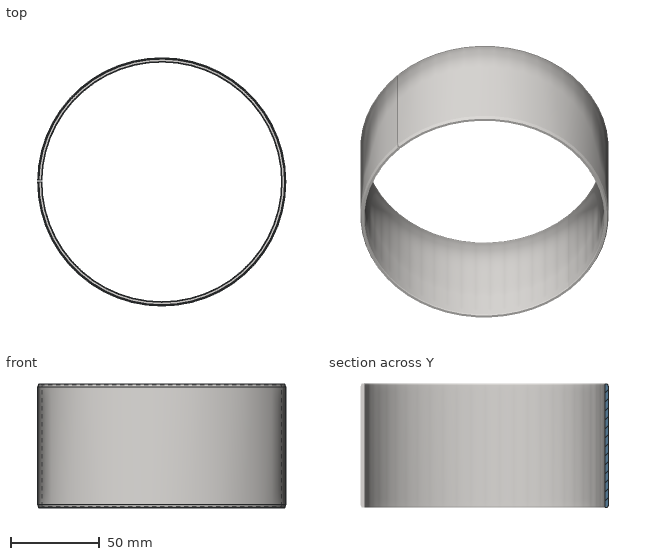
import cadquery as cq

outer_diameter = 140.0
height = 70.0
wall = 2.4

outer_chamfer_height = 1.8
outer_chamfer_depth = 0.7

inner_chamfer_height = 0.7
inner_chamfer_depth = 0.3

slit_width = 1.0

outer_radius = outer_diameter / 2
inner_radius = outer_radius - wall


def ring():
    """Revolve the wall section, with all four rims chamfered, about Z."""
    outer_rim_radius = outer_radius - outer_chamfer_depth
    inner_rim_radius = inner_radius + inner_chamfer_depth
    section = [
        (inner_radius, inner_chamfer_height),
        (inner_rim_radius, 0),
        (outer_rim_radius, 0),
        (outer_radius, outer_chamfer_height),
        (outer_radius, height - outer_chamfer_height),
        (outer_rim_radius, height),
        (inner_rim_radius, height),
        (inner_radius, height - inner_chamfer_height),
    ]
    return cq.Workplane("XZ").polyline(section).close().revolve(360, (0, 0), (0, 1))


def slit():
    """Full-height cutter from the ring axis out to the -X side."""
    return cq.Workplane("XY").box(
        outer_radius, slit_width, height, centered=False
    ).translate((-outer_radius, 0, 0))


result = ring().cut(slit())